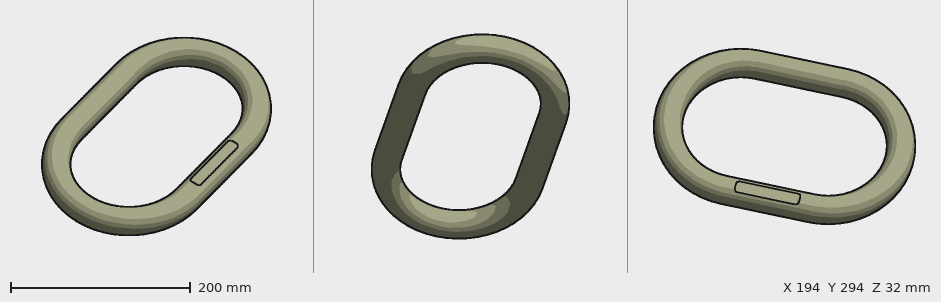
import cadquery as cq
import math

bar_diameter = 32.0
inner_width = 130.0
straight_length = 100.0
bar_radius = bar_diameter / 2
bend_radius = (inner_width + bar_diameter) / 2

recess_width = 13.9
recess_length = 73.6
runout_length = 5.6
floor_end_radius = 18.0
floor_height = math.sqrt(bar_radius**2 - (recess_width / 2) ** 2)
recess_depth = bar_radius - floor_height


def link_body():
    """Sweep the round bar along the closed oval centerline."""
    half_straight = straight_length / 2
    bend_apex = half_straight + bend_radius
    centerline = (
        cq.Workplane("XY")
        .moveTo(bend_radius, -half_straight)
        .lineTo(bend_radius, half_straight)
        .threePointArc((0, bend_apex), (-bend_radius, half_straight))
        .lineTo(-bend_radius, -half_straight)
        .threePointArc((0, -bend_apex), (bend_radius, -half_straight))
        .close()
    )
    bar_section = cq.Workplane("XZ", origin=(bend_radius, -half_straight, 0)).circle(bar_radius)
    return bar_section.sweep(centerline)


def runout_post(end):
    """Round post on the recess floor; its flared flank is the run-out at one end (+1 or -1)."""
    top_radius = floor_end_radius - runout_length
    flank_radius = (runout_length**2 + recess_depth**2) / (2 * recess_depth)
    post_center = end * (recess_length / 2 + top_radius)
    return (
        cq.Workplane("XZ", origin=(bend_radius, post_center, floor_height))
        .lineTo(floor_end_radius, 0)
        .radiusArc((top_radius, recess_depth), flank_radius)
        .lineTo(0, recess_depth)
        .close()
        .revolve(360, (0, 0), (0, 1))
    )


def recess_cutter():
    """Slab above the recess floor, shaped at both ends by the concave run-outs."""
    slab = cq.Workplane("XY", origin=(bend_radius, 0, floor_height)).box(
        bar_diameter, recess_length, recess_depth, centered=(True, True, False)
    )
    for end in (-1, 1):
        slab = slab.cut(runout_post(end))
    return slab


result = link_body().cut(recess_cutter())